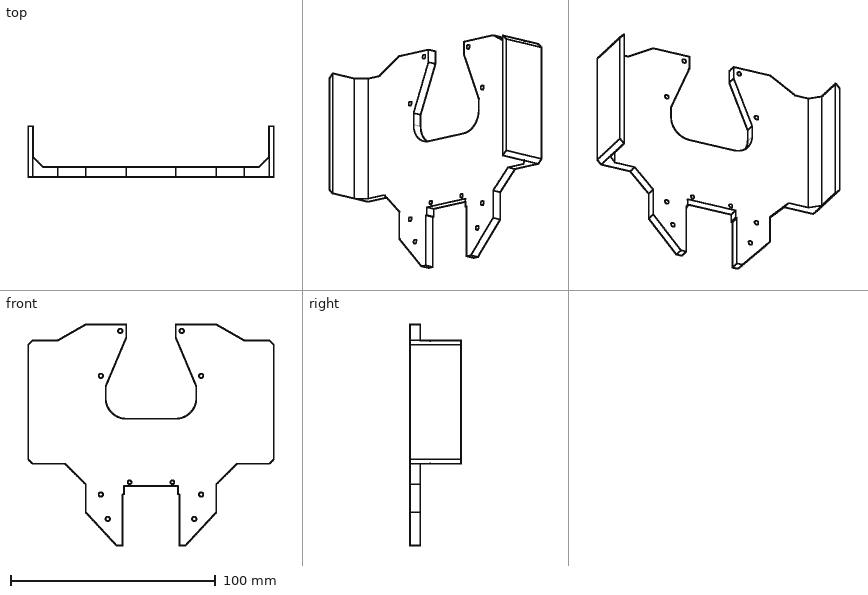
import cadquery as cq

width = 120.0
depth = 25.0
height = 108.0
half_width = width / 2

plate_thickness = 5.0
wall_thickness = 2.4
corner_chamfer = 2.2
gusset_leg = 4.8
wall_bottom = 40.0
wall_top = 100.2

shoulder_inner = 31.9
shoulder_outer = 45.6
hip_outer = 42.0
hip_bottom = 30.0
knee_height = 16.3
foot_outer = 16.8

throat_half_width = 12.0
throat_bottom = 101.6
bay_half_width = 22.1
bay_top = 77.8
bay_floor = 62.0
bay_radius = 10.0

leg_gap_half_width = 13.8
step_half_width = 13.1
step_bottom = 25.1
step_top = 29.0

hole_diameter = 2.0
hole_places = [(15.0, 104.9), (24.5, 82.9), (24.5, 25.0), (21.1, 13.1)]
small_hole_diameter = 1.8
small_hole_places = [(10.5, 31.0)]


def extrude_back(sketch, length):
    """Extrude an XZ sketch from the front face toward +Y."""
    return sketch.extrude(-length)


def both_sides(places):
    return [(side * x, z) for x, z in places for side in (-1, 1)]


def plate_blank():
    """Flat plate outline, mirror-symmetric about the YZ plane."""
    right = [
        (shoulder_inner, height),
        (shoulder_outer, wall_top),
        (half_width - corner_chamfer, wall_top),
        (half_width, wall_top - corner_chamfer),
        (half_width, wall_bottom + corner_chamfer),
        (half_width - corner_chamfer, wall_bottom),
        (hip_outer, wall_bottom),
        (shoulder_inner, hip_bottom),
        (shoulder_inner, knee_height),
        (foot_outer, 0),
    ]
    left = [(-x, z) for x, z in reversed(right)]
    return extrude_back(cq.Workplane("XZ").polyline(right + left).close(), plate_thickness)


def upper_opening():
    """Throat widening into a bay with rounded lower corners."""
    right = [
        (throat_half_width, height),
        (throat_half_width, throat_bottom),
        (bay_half_width, bay_top),
        (bay_half_width, bay_floor),
    ]
    left = [(-x, z) for x, z in reversed(right)]
    opening = extrude_back(cq.Workplane("XZ").polyline(right + left).close(), plate_thickness)
    return opening.edges("|Y").edges("<Z").fillet(bay_radius)


def lower_opening():
    """Gap between the legs, stepped in near its top."""
    right = [
        (leg_gap_half_width, 0),
        (leg_gap_half_width, step_bottom),
        (step_half_width, step_bottom),
        (step_half_width, step_top),
    ]
    left = [(-x, z) for x, z in reversed(right)]
    return extrude_back(cq.Workplane("XZ").polyline(right + left).close(), plate_thickness)


def holes(places, diameter):
    circles = cq.Workplane("XZ").pushPoints(both_sides(places)).circle(diameter / 2)
    return extrude_back(circles, plate_thickness)


def right_wall():
    """Side wall with a triangular gusset along its inner corner and chamfered outer edges."""
    inner = half_width - wall_thickness
    profile = [
        (half_width, 0),
        (half_width, depth),
        (inner, depth),
        (inner, plate_thickness + gusset_leg),
        (inner - gusset_leg, plate_thickness),
        (inner - gusset_leg, 0),
    ]
    wall = (
        cq.Workplane("XY")
        .workplane(offset=wall_bottom)
        .polyline(profile)
        .close()
        .extrude(wall_top - wall_bottom)
    )
    return wall.faces(">X").edges("|Y").chamfer(corner_chamfer)


plate = plate_blank().cut(upper_opening()).cut(lower_opening())
plate = plate.cut(holes(hole_places, hole_diameter))
plate = plate.cut(holes(small_hole_places, small_hole_diameter))

wall = right_wall()
result = plate.union(wall).union(wall.mirror("YZ"))